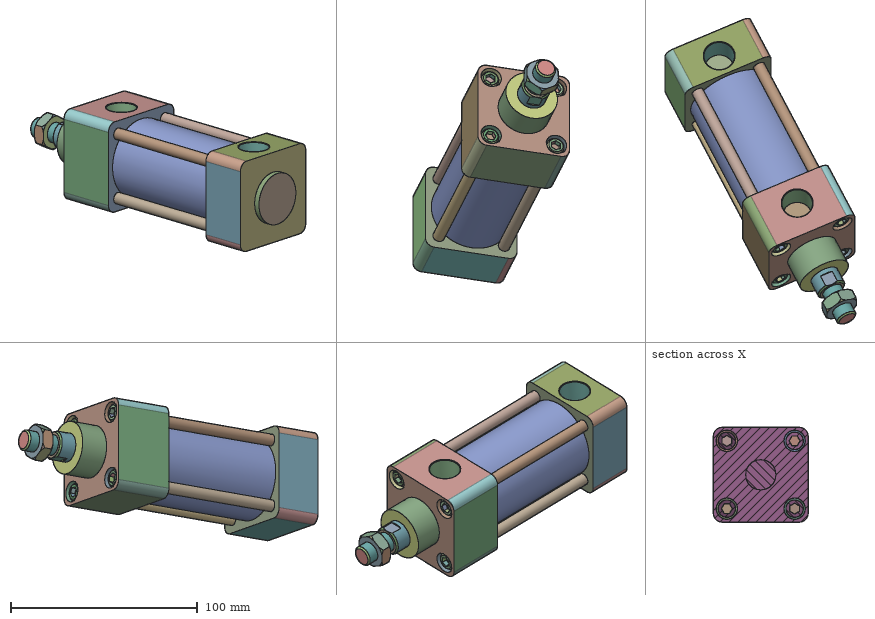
import cadquery as cq
import math

LENGTH = 177.8

CAP_SIDE = 50.9
CAP_CORNER_RADIUS = 4.8
FRONT_CAP_LENGTH = 32.9
REAR_CAP_LENGTH = 25.5
BOSS_DIAMETER = 28.6
FRONT_BOSS_LENGTH = 15.6
REAR_BOSS_LENGTH = 3.2
FRONT_BOSS_FACE_X = 28.6

PORT_MOUTH_DIAMETER = 17.0
PORT_CHAMFER = 0.4
PORT_FLOOR_DIAMETER = 15.3
PORT_DEPTH = 14.2
FRONT_PORT_FROM_CAP_FACE = 18.3
REAR_PORT_FROM_CAP_FACE = 11.2

BARREL_DIAMETER = 44.5

ROD_DIAMETER = 15.8
ROD_SHOULDER_X = 18.8
ROD_CHAMFER = 0.9
STUD_DIAMETER = 11.2
WRENCH_FLAT_WIDTH = 14.2
WRENCH_FLAT_END_X = 26.0

NUT_FRONT_X = 6.5
NUT_LENGTH = 6.5
NUT_ACROSS_FLATS = 17.5
NUT_CHAMFER = 1.0

BOLT_OFFSET = 18.1
BOLT_SHANK_DIAMETER = 6.4
BOLT_HEAD_DIAMETER = 9.5
BOLT_HEAD_LENGTH = 6.4
BOLT_HEAD_CHAMFER = 0.7
BOLT_RECESS_DIAMETER = 11.2
BOLT_HEAD_SETBACK = 1.0
BOLT_THREAD_DEPTH = 14.2
SOCKET_ACROSS_FLATS = 5.0
SOCKET_DEPTH = 2.8

FRONT_CAP_X = FRONT_BOSS_FACE_X + FRONT_BOSS_LENGTH
BARREL_START_X = FRONT_CAP_X + FRONT_CAP_LENGTH
REAR_BOSS_X = LENGTH - REAR_BOSS_LENGTH
BARREL_END_X = REAR_BOSS_X - REAR_CAP_LENGTH
BOLT_HEAD_X = FRONT_CAP_X + BOLT_HEAD_SETBACK
BOLT_SHANK_X = BOLT_HEAD_X + BOLT_HEAD_LENGTH
BOLT_END_X = BARREL_END_X + BOLT_THREAD_DEPTH

BOLT_CENTRES = [
    (BOLT_OFFSET, BOLT_OFFSET),
    (-BOLT_OFFSET, BOLT_OFFSET),
    (-BOLT_OFFSET, -BOLT_OFFSET),
    (BOLT_OFFSET, -BOLT_OFFSET),
]


def plane_at(x):
    """YZ plane at x, facing +X."""
    return cq.Workplane("YZ", origin=(x, 0, 0))


def cylinder(start_x, end_x, diameter, centre=(0, 0)):
    """Round bar along X."""
    return plane_at(start_x).center(*centre).circle(diameter / 2).extrude(end_x - start_x)


def hexagon_bar(start_x, length, across_flats):
    """Hexagonal bar along X with corners at the top and bottom."""
    across_corners = across_flats / math.cos(math.pi / 6)
    return plane_at(start_x).transformed(rotate=(0, 0, 90)).polygon(6, across_corners).extrude(length)


def cap_block(start_x, length):
    """Square block with its four long edges rounded."""
    block = plane_at(start_x).rect(CAP_SIDE, CAP_SIDE).extrude(length)
    return block.edges("|X").fillet(CAP_CORNER_RADIUS)


def port(centre_x):
    """Cutter for a blind tapered port in a cap's top face, with a chamfered mouth."""
    mouth_radius = PORT_MOUTH_DIAMETER / 2
    profile = [
        (0, 0),
        (mouth_radius, 0),
        (mouth_radius - PORT_CHAMFER, -PORT_CHAMFER),
        (PORT_FLOOR_DIAMETER / 2, -PORT_DEPTH),
        (0, -PORT_DEPTH),
    ]
    half_section = cq.Workplane("XZ", origin=(centre_x, 0, CAP_SIDE / 2)).polyline(profile).close()
    return half_section.revolve(360, (0, 0), (0, 1))


def make_front_cap():
    cap = cap_block(FRONT_CAP_X, FRONT_CAP_LENGTH)
    cap = cap.union(cylinder(FRONT_BOSS_FACE_X, FRONT_CAP_X, BOSS_DIAMETER))
    cap = cap.cut(cylinder(FRONT_BOSS_FACE_X, BARREL_START_X, ROD_DIAMETER))
    for centre in BOLT_CENTRES:
        cap = cap.cut(cylinder(FRONT_CAP_X, BOLT_SHANK_X, BOLT_RECESS_DIAMETER, centre))
        cap = cap.cut(cylinder(BOLT_SHANK_X, BARREL_START_X, BOLT_SHANK_DIAMETER, centre))
    return cap.cut(port(FRONT_CAP_X + FRONT_PORT_FROM_CAP_FACE))


def make_rear_cap():
    cap = cap_block(BARREL_END_X, REAR_CAP_LENGTH)
    cap = cap.union(cylinder(REAR_BOSS_X, LENGTH, BOSS_DIAMETER))
    for centre in BOLT_CENTRES:
        cap = cap.cut(cylinder(BARREL_END_X, BOLT_END_X, BOLT_SHANK_DIAMETER, centre))
    return cap.cut(port(BARREL_END_X + REAR_PORT_FROM_CAP_FACE))


def make_barrel():
    return cylinder(BARREL_START_X, BARREL_END_X, BARREL_DIAMETER)


def make_rod():
    """Rod with two wrench flats and a reduced stud; it runs through the front cap to the barrel."""
    rod = cylinder(ROD_SHOULDER_X, BARREL_START_X, ROD_DIAMETER)
    rod = rod.faces("<X").chamfer(ROD_CHAMFER)
    flat_length = WRENCH_FLAT_END_X - ROD_SHOULDER_X
    flat_depth = (ROD_DIAMETER - WRENCH_FLAT_WIDTH) / 2
    flat_centre_z = (WRENCH_FLAT_WIDTH + flat_depth) / 2
    for side in (1, -1):
        flat = plane_at(ROD_SHOULDER_X).center(0, side * flat_centre_z)
        rod = rod.cut(flat.rect(ROD_DIAMETER, flat_depth).extrude(flat_length))
    stud = cylinder(0, ROD_SHOULDER_X, STUD_DIAMETER).faces("<X").chamfer(ROD_CHAMFER)
    return rod.union(stud)


def make_nut():
    """Hexagonal nut, its corners turned off at both ends."""
    hexagon = hexagon_bar(NUT_FRONT_X, NUT_LENGTH, NUT_ACROSS_FLATS)
    across_corners = NUT_ACROSS_FLATS / math.cos(math.pi / 6)
    turned = cylinder(NUT_FRONT_X, NUT_FRONT_X + NUT_LENGTH, across_corners)
    turned = turned.faces("<X or >X").chamfer(NUT_CHAMFER)
    nut = hexagon.intersect(turned)
    return nut.cut(cylinder(NUT_FRONT_X, NUT_FRONT_X + NUT_LENGTH, STUD_DIAMETER))


def make_bolt():
    """Socket-head tie bolt at the first bolt centre."""
    head = cylinder(BOLT_HEAD_X, BOLT_SHANK_X, BOLT_HEAD_DIAMETER).faces("<X").chamfer(BOLT_HEAD_CHAMFER)
    bolt = head.union(cylinder(BOLT_SHANK_X, BOLT_END_X, BOLT_SHANK_DIAMETER))
    bolt = bolt.cut(hexagon_bar(BOLT_HEAD_X, SOCKET_DEPTH, SOCKET_ACROSS_FLATS))
    return bolt.translate((0, *BOLT_CENTRES[0]))


front_cap = make_front_cap()
rear_cap = make_rear_cap()
barrel = make_barrel()
rod = make_rod()
nut = make_nut()

first_bolt = make_bolt()
tie_bolts = []
for quarter_turn in range(len(BOLT_CENTRES)):
    tie_bolts.append(first_bolt.rotate((0, 0, 0), (1, 0, 0), 90 * quarter_turn).val())

result = cq.Compound.makeCompound(
    [front_cap.val(), rear_cap.val(), barrel.val(), rod.val(), nut.val(), *tie_bolts]
)